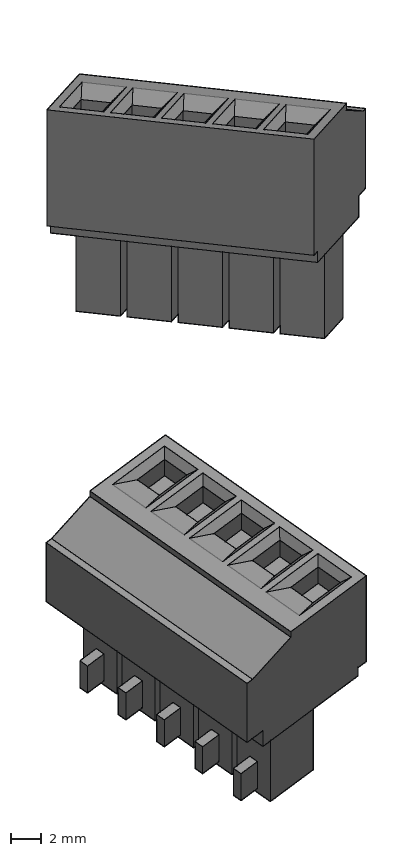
import cadquery as cq


pole_count = 5
pole_pitch = 3.5
first_pole_x = 2.14
pole_width = 3.04

housing_length = 18.29
housing_depth = 11.18
overall_height = 15.5
post_height = 6.64
rear_lip_width = 0.51
rear_lip_drop = 1.81
deck_depth = 7.08
deck_step = 0.51
front_notch = 0.77
rear_notch = 1.48

post_front = 4.33
post_depth = 4.02
rib_width = 0.7
rib_depth = 1.54
rib_height = 2.55
rib_base = 0.38

funnel_front = 0.77
funnel_length = 4.87
funnel_inset = 0.51
funnel_rear_inset = 1.8
funnel_depth = 0.51
shaft_depth = 1.54

pole_centers = [first_pole_x + i * pole_pitch for i in range(pole_count)]


def make_housing():
    """Stepped side profile extruded along the row of poles."""
    base = post_height
    top = overall_height
    rear_top = top - rear_lip_drop
    profile = [
        (front_notch, base),
        (housing_depth - rear_notch, base),
        (housing_depth - rear_notch, base + rear_notch),
        (housing_depth, base + rear_notch),
        (housing_depth, rear_top),
        (housing_depth - rear_lip_width, rear_top),
        (deck_depth, top - deck_step),
        (deck_depth, top),
        (0, top),
        (0, base + front_notch),
        (front_notch, base + front_notch),
    ]
    return cq.Workplane("YZ").polyline(profile).close().extrude(housing_length)


def make_post(x):
    """Rectangular post with its rib, centred on the pole at x."""
    post = cq.Workplane("XY").box(pole_width, post_depth, post_height, centered=(True, False, False))
    rib = (
        cq.Workplane("XY")
        .box(rib_width, rib_depth, rib_height, centered=(True, False, False))
        .translate((0, post_depth, rib_base))
    )
    return post.union(rib).translate((x, post_front, 0))


def make_wire_entry(x):
    """Cutter for one pole: a tapered mouth above a straight rectangular shaft."""
    mouth_center = funnel_front + funnel_length / 2
    shaft_length = funnel_length - funnel_inset - funnel_rear_inset
    shaft_center = funnel_front + funnel_inset + shaft_length / 2
    shaft_width = pole_width - 2 * funnel_inset
    shaft_top = overall_height - funnel_depth

    mouth = (
        cq.Workplane("XY")
        .workplane(offset=shaft_top)
        .center(x, shaft_center)
        .rect(shaft_width, shaft_length)
        .workplane(offset=funnel_depth)
        .center(0, mouth_center - shaft_center)
        .rect(pole_width, funnel_length)
        .loft(ruled=True)
    )
    shaft = (
        cq.Workplane("XY")
        .workplane(offset=shaft_top - shaft_depth)
        .center(x, shaft_center)
        .rect(shaft_width, shaft_length)
        .extrude(shaft_depth)
    )
    return mouth.union(shaft)


result = make_housing()
for pole_x in pole_centers:
    result = result.union(make_post(pole_x)).cut(make_wire_entry(pole_x))